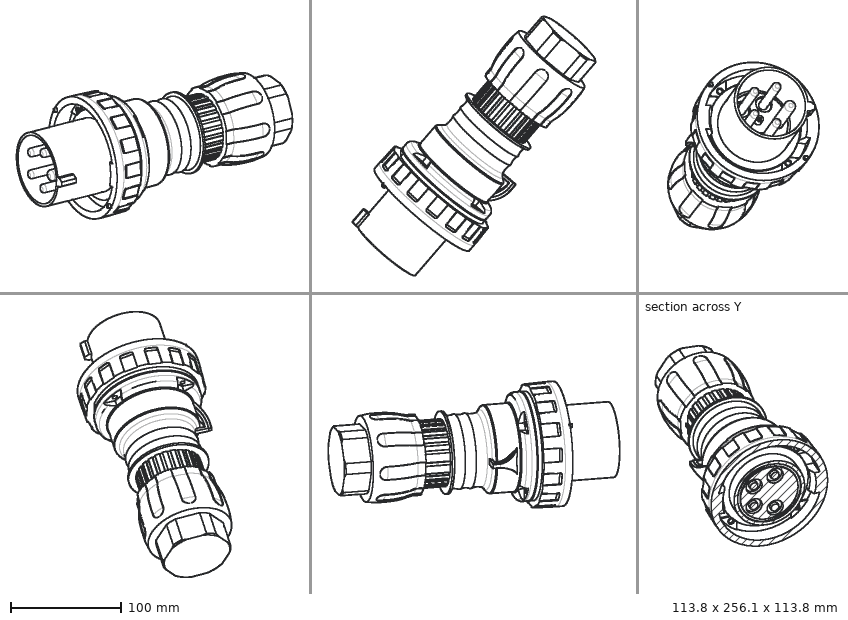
import cadquery as cq
import math

TOTAL_LENGTH = 256.1

SLEEVE_R = 34.5
BORE_MOUTH_R = 31.8
BORE_FLOOR_R = 30.6
SLEEVE_FLOOR_Y = 52.0
INSERT_R = 28.2
INSERT_HEIGHT = 1.5
KEY_LENGTH = 15.6
KEY_HALF_WIDTH = 4.4
KEY_TIP_HALF_WIDTH = 2.0
KEY_TIP_X = 40.7
KEY_SHOULDER_X = 36.7

PIN_COUNT = 5
PIN_CIRCLE_R = 18.3
PIN_R = 4.0
EARTH_PIN_R = 5.1
PIN_TIP_R = 2.0
PIN_TIP_LENGTH = 2.5
PIN_TIP_Y = 1.0
PIN_WELL_R = 7.5
PIN_WELL_DEPTH = 4.0
PILOT_R = 3.0
PILOT_LENGTH = 8.0
PILOT_HOLE_R = 1.2
PILOT_HOLE_DEPTH = 3.0

RING_FRONT_Y = 49.4
RING_BACK_Y = 76.1
RING_R = 56.9
RING_BACK_R = 56.3
RING_LINE_Y = 56.5
RING_INNER_R = 50.0
CAVITY_FLOOR_Y = 66.0
CAVITY_SHOULDER_Y = 63.0
CAVITY_SHOULDER_R = 42.2
GRIP_COUNT = 15
GRIP_FIRST_ANGLE = 14.3
GRIP_WIDTH = 12.5
GRIP_DEPTH = 1.2
GRIP_END_Y = 59.0
GRIP_RAMP = 2.0
GRIP_CORNER_R = 1.8
LUG_COUNT = 2
LUG_HALF_WIDTH = 11.5
LUG_RAMP_Y = 58.0
LUG_FRONT_R = 46.0
MARKER_X = 44.4
MARKER_Z = 31.5
MARKER_R = 2.5
MARKER_TIP_R = 1.6
MARKER_HEIGHT = 2.3

FLANGE_R = 49.8
FLANGE_LIP_Y = 80.0
FLANGE_EDGE_Y = 85.8
FLANGE_ROUND_MID = (49.2, 88.6)
FLANGE_ROUND_END = (47.4, 90.4)
FLANGE_SLOPE_END = (41.2, 93.0)
FLANGE_FLAT_X = 48.0
GROOVE_DEPTH = 0.5
GROOVE_WIDTH = 0.8
SCREW_COUNT = 4
SCREW_OFFSET = 31.8
SCREW_HOLE_R = 2.2
SCREW_SEAT_R = 2.9
SCREW_SEAT_DEPTH = 1.0
CORNER_OFFSET = 26.3
CORNER_PAD_HEIGHT = 1.5
SCREW_POCKET_Y = 87.2
SCREW_POCKET_INNER_R = 41.0

BODY_R = 40.4
BODY_FRONT_Y = 94.2
BODY_BACK_Y = 115.6
BODY_RIM_R = 40.0
BODY_RIM_Y = 116.8
SHOULDER_R = 36.4
SHOULDER_Y = 119.7
SHOULDER_HOLLOW_MID = (34.6, 121.4)
BELLOWS_START_Y = 123.6
BELLOWS_START_R = 33.8
BELLOWS_PITCH = 10.2
BELLOWS_COUNT = 3
BELLOWS_RIDGE_R = 34.4
BELLOWS_VALLEY_R = 33.4
COLLAR_R = 37.8
COLLAR_FRONT_Y = 154.9
COLLAR_BACK_Y = 157.0

NECK_R = 29.9
SPLINE_R = 30.8
SPLINE_COUNT = 26
SPLINE_ANGLE = 8.3
NECK_FLAT_X = -29.1
NECK_FLAT_HALF_WIDTH = 9.7
NECK_RIB_WIDTH = 3.0

GLAND_FRONT_Y = 181.3
GLAND_BAND_Y = 189.0
GLAND_BACK_Y = 231.2
GLAND_BAND_R = 36.9
GLAND_BACK_R = 39.3
SCALLOP_COUNT = 8
SCALLOP_FIRST_ANGLE = -3.0
SCALLOP_WIDTH = 12.8
SCALLOP_DEPTH = 1.0
SCALLOP_RAMP_Y = 218.0
SCALLOP_END_Y = 225.2
SCALLOP_RAMP_END_R = 40.3
GLAND_BULGE = [(39.7, 200.0), (40.7, 213.0), (40.5, 222.0)]

HEX_APOTHEM = 29.9
HEX_CORNER_R = 32.0
HEX_TURN = 4.3
HEX_FLAT_TO_CORNER = 30.0
HEX_CHAMFER = 1.2

STRAP_INNER_X = -44.2
STRAP_THICKNESS = 5.6
STRAP_EDGE_STEP = 0.6
STRAP_INNER_MID = (-42.2, 108.0)
STRAP_MID_SLOPE = math.radians(33.0)
STRAP_INNER_FOOT_Y = 101.0
STRAP_FOOT_X = -36.9
STRAP_FLARE_MID_Y = 106.5
STRAP_FLARE_MID_HALF_WIDTH = 5.0
STRAP_BACK_Y = 122.0
STRAP_FRONT_Y = 97.0
STRAP_BAR_THICKNESS = 2.6
STRAP_BAR_HALF_WIDTH = 2.4
STRAP_FOOT_HALF_WIDTH = 13.0
STRAP_STRAIGHT_Y = 115.5

AXIS_START = (0, 0, 0)
AXIS_END = (0, 1, 0)
FAR = 70.0
OVERLAP = 1.0


def revolve_outline(outline):
    """Turn a closed (radius, Y) outline around the plug axis."""
    return outline.close().revolve(360, AXIS_START, AXIS_END)


def section(front_y, back_y):
    """Empty XZ sketch plane and the distance to extrude towards -Y."""
    return cq.Workplane("XZ", origin=(0, back_y, 0)), back_y - front_y


def cylinder(radius, front_y, back_y, x=0.0, z=0.0):
    """Round bar parallel to the plug axis."""
    plane, length = section(front_y, back_y)
    return plane.center(x, z).circle(radius).extrude(length)


def box(x_range, y_range, z_range):
    size = [high - low for low, high in (x_range, y_range, z_range)]
    corner = (x_range[0], y_range[0], z_range[0])
    return cq.Workplane("XY").box(*size, centered=False).translate(corner)


def around_axis(shape, angle):
    """Rotate about the plug axis; positive angles go from +Z towards +X."""
    return shape.rotate(AXIS_START, AXIS_END, angle)


def polar_copies(shape, count, first_angle):
    step = 360.0 / count
    return [around_axis(shape, first_angle + index * step) for index in range(count)]


def fuse_all(base, shapes):
    return cq.Workplane(base.val().fuse(*[shape.val() for shape in shapes]))


def cut_all(base, shapes):
    return cq.Workplane(base.val().cut(*[shape.val() for shape in shapes]))


def make_main_body():
    """Turned body from the sleeve to the collar, with the open cavity inside the coupling ring."""
    outline = (
        cq.Workplane("XY")
        .moveTo(0, SLEEVE_FLOOR_Y)
        .lineTo(BORE_FLOOR_R, SLEEVE_FLOOR_Y)
        .lineTo(BORE_MOUTH_R, 0)
        .lineTo(SLEEVE_R, 0)
        .lineTo(SLEEVE_R, CAVITY_SHOULDER_Y)
        .lineTo(CAVITY_SHOULDER_R, CAVITY_SHOULDER_Y)
        .lineTo(CAVITY_SHOULDER_R, CAVITY_FLOOR_Y)
        .lineTo(RING_INNER_R, CAVITY_FLOOR_Y)
        .lineTo(RING_INNER_R, RING_FRONT_Y)
        .lineTo(RING_R, RING_FRONT_Y)
        .lineTo(RING_R, RING_LINE_Y)
        .lineTo(RING_BACK_R, RING_BACK_Y)
        .lineTo(FLANGE_R, RING_BACK_Y)
        .lineTo(FLANGE_R, FLANGE_LIP_Y)
        .lineTo(FLANGE_R - GROOVE_DEPTH, FLANGE_LIP_Y)
        .lineTo(FLANGE_R - GROOVE_DEPTH, FLANGE_LIP_Y + GROOVE_WIDTH)
        .lineTo(FLANGE_R, FLANGE_LIP_Y + GROOVE_WIDTH)
        .lineTo(FLANGE_R, FLANGE_EDGE_Y)
        .threePointArc(FLANGE_ROUND_MID, FLANGE_ROUND_END)
        .lineTo(*FLANGE_SLOPE_END)
        .lineTo(BODY_R, BODY_FRONT_Y)
        .lineTo(BODY_R, BODY_BACK_Y)
        .lineTo(BODY_RIM_R, BODY_RIM_Y)
        .lineTo(SHOULDER_R, SHOULDER_Y)
        .threePointArc(SHOULDER_HOLLOW_MID, (BELLOWS_START_R, BELLOWS_START_Y))
    )
    for fold in range(BELLOWS_COUNT):
        fold_y = BELLOWS_START_Y + fold * BELLOWS_PITCH
        outline = outline.threePointArc(
            (BELLOWS_VALLEY_R, fold_y + BELLOWS_PITCH / 2),
            (BELLOWS_RIDGE_R, fold_y + BELLOWS_PITCH),
        )
    outline = (
        outline
        .lineTo(COLLAR_R, COLLAR_FRONT_Y)
        .lineTo(COLLAR_R, COLLAR_BACK_Y)
        .lineTo(0, COLLAR_BACK_Y)
    )
    flange_flat = box((FLANGE_FLAT_X, FAR), (RING_BACK_Y, FLANGE_LIP_Y), (-FAR, FAR))
    return revolve_outline(outline).cut(flange_flat)


def make_key():
    """Polarising key on the +X side of the sleeve mouth."""
    plane, length = section(0, KEY_LENGTH)
    return (
        plane
        .moveTo(BORE_MOUTH_R + OVERLAP, -KEY_HALF_WIDTH)
        .lineTo(KEY_SHOULDER_X, -KEY_HALF_WIDTH)
        .lineTo(KEY_TIP_X, -KEY_TIP_HALF_WIDTH)
        .lineTo(KEY_TIP_X, KEY_TIP_HALF_WIDTH)
        .lineTo(KEY_SHOULDER_X, KEY_HALF_WIDTH)
        .lineTo(BORE_MOUTH_R + OVERLAP, KEY_HALF_WIDTH)
        .close()
        .extrude(length)
    )


def make_pin(radius, x, z):
    """Contact pin with a rounded shoulder and a flat tip."""
    shoulder_y = PIN_TIP_Y + PIN_TIP_LENGTH
    mid = math.cos(math.radians(45))
    pin = revolve_outline(
        cq.Workplane("XY")
        .moveTo(0, PIN_TIP_Y)
        .lineTo(PIN_TIP_R, PIN_TIP_Y)
        .threePointArc(
            (PIN_TIP_R + (radius - PIN_TIP_R) * mid, shoulder_y - PIN_TIP_LENGTH * mid),
            (radius, shoulder_y),
        )
        .lineTo(radius, SLEEVE_FLOOR_Y + PIN_WELL_DEPTH + OVERLAP)
        .lineTo(0, SLEEVE_FLOOR_Y + PIN_WELL_DEPTH + OVERLAP)
    )
    return pin.translate((x, 0, z))


def add_contacts(plug):
    """Insert plate with five pins, wells around all but the earth pin, and a hollow pilot."""
    insert_y = SLEEVE_FLOOR_Y - INSERT_HEIGHT
    plug = plug.union(cylinder(INSERT_R, insert_y, SLEEVE_FLOOR_Y + OVERLAP))
    for index in range(PIN_COUNT):
        angle = math.radians(index * 360.0 / PIN_COUNT)
        x = PIN_CIRCLE_R * math.cos(angle)
        z = PIN_CIRCLE_R * math.sin(angle)
        is_earth = index == 0
        if not is_earth:
            plug = plug.cut(cylinder(PIN_WELL_R, insert_y, insert_y + PIN_WELL_DEPTH, x, z))
        plug = plug.union(make_pin(EARTH_PIN_R if is_earth else PIN_R, x, z))
    pilot_y = insert_y - PILOT_LENGTH
    plug = plug.union(cylinder(PILOT_R, pilot_y, SLEEVE_FLOOR_Y))
    return plug.cut(cylinder(PILOT_HOLE_R, pilot_y, pilot_y + PILOT_HOLE_DEPTH))


def make_grip_cutter():
    """Shallow thumb recess at +Z, open to the back of the ring, with a sloped front end."""
    floor_z = RING_BACK_R - GRIP_DEPTH
    return (
        cq.Workplane("YZ", origin=(-GRIP_WIDTH / 2, 0, 0))
        .moveTo(GRIP_END_Y, RING_R + OVERLAP)
        .lineTo(GRIP_END_Y, RING_BACK_R)
        .lineTo(GRIP_END_Y + GRIP_RAMP, floor_z)
        .lineTo(RING_BACK_Y, floor_z)
        .lineTo(RING_BACK_Y, RING_R + OVERLAP)
        .close()
        .extrude(GRIP_WIDTH)
        .edges("|Z and <Y")
        .fillet(GRIP_CORNER_R)
    )


def make_lug():
    """Bayonet lug on the +X side inside the coupling ring, with a funnel-shaped front."""
    lug_ring = revolve_outline(
        cq.Workplane("XY")
        .moveTo(RING_INNER_R + OVERLAP, RING_FRONT_Y)
        .lineTo(LUG_FRONT_R, RING_FRONT_Y)
        .lineTo(CAVITY_SHOULDER_R, LUG_RAMP_Y)
        .lineTo(CAVITY_SHOULDER_R, CAVITY_FLOOR_Y + OVERLAP)
        .lineTo(RING_INNER_R + OVERLAP, CAVITY_FLOOR_Y + OVERLAP)
    )
    lug_y = (RING_FRONT_Y, CAVITY_FLOOR_Y + OVERLAP)
    return lug_ring.intersect(box((0, FAR), lug_y, (-LUG_HALF_WIDTH, LUG_HALF_WIDTH)))


def make_marker(side):
    """Small tapered stud on the front face of the coupling ring."""
    return (
        cq.Workplane("XZ", origin=(side * MARKER_X, RING_FRONT_Y + OVERLAP, -side * MARKER_Z))
        .circle(MARKER_R)
        .workplane(offset=MARKER_HEIGHT + OVERLAP)
        .circle(MARKER_TIP_R)
        .loft()
    )


def add_coupling_ring_details(plug):
    plug = cut_all(plug, polar_copies(make_grip_cutter(), GRIP_COUNT, GRIP_FIRST_ANGLE))
    plug = fuse_all(plug, polar_copies(make_lug(), LUG_COUNT, 0))
    for side in (-1, 1):
        plug = plug.union(make_marker(side))
    return plug


def add_screw_corners(plug):
    """Four screw corners: a pad in the cavity, a through hole and a pocket behind the flange."""
    corner = (CORNER_OFFSET, FAR)
    pad_y = (CAVITY_FLOOR_Y - CORNER_PAD_HEIGHT, CAVITY_FLOOR_Y + OVERLAP)
    pad = box(corner, pad_y, corner).intersect(cylinder(RING_INNER_R + OVERLAP, *pad_y))
    pocket_y = (SCREW_POCKET_Y, BODY_FRONT_Y + OVERLAP)
    pocket = box(corner, pocket_y, corner)
    pocket = pocket.cut(cylinder(SCREW_POCKET_INNER_R, *pocket_y))
    seat_front_y = CAVITY_SHOULDER_Y - OVERLAP
    hole = cylinder(SCREW_HOLE_R, seat_front_y, SCREW_POCKET_Y + OVERLAP)
    seat_back_y = CAVITY_FLOOR_Y - CORNER_PAD_HEIGHT + SCREW_SEAT_DEPTH
    hole = hole.union(cylinder(SCREW_SEAT_R, seat_front_y, seat_back_y))
    hole = hole.translate((SCREW_OFFSET, 0, SCREW_OFFSET))
    plug = fuse_all(plug, polar_copies(pad, SCREW_COUNT, 0))
    plug = cut_all(plug, polar_copies(pocket, SCREW_COUNT, 0))
    return cut_all(plug, polar_copies(hole, SCREW_COUNT, 0))


def make_spline():
    """One long spline at +Z on the neck."""
    plane, length = section(COLLAR_BACK_Y, GLAND_FRONT_Y)
    half = math.radians(SPLINE_ANGLE / 2)
    x = SPLINE_R * math.sin(half)
    z = SPLINE_R * math.cos(half)
    return (
        plane
        .moveTo(-x, NECK_R - 2 * OVERLAP)
        .lineTo(-x, z)
        .threePointArc((0, SPLINE_R), (x, z))
        .lineTo(x, NECK_R - 2 * OVERLAP)
        .close()
        .extrude(length)
    )


def make_neck():
    """Evenly splined neck, with a flat carrying one narrow rib on the -X side."""
    neck_y = (COLLAR_BACK_Y, GLAND_FRONT_Y)
    half_pitch = 180.0 / SPLINE_COUNT
    neck = fuse_all(cylinder(NECK_R, *neck_y), polar_copies(make_spline(), SPLINE_COUNT, half_pitch))
    flat_z = (-NECK_FLAT_HALF_WIDTH, NECK_FLAT_HALF_WIDTH)
    neck = neck.cut(box((-COLLAR_R, NECK_FLAT_X), neck_y, flat_z))
    rib_z = (-NECK_RIB_WIDTH / 2, NECK_RIB_WIDTH / 2)
    return neck.union(box((-SPLINE_R, NECK_FLAT_X + OVERLAP), neck_y, rib_z))


def make_gland_nut():
    """Barrel-shaped nut with round-ended finger scallops."""
    nut = revolve_outline(
        cq.Workplane("XY")
        .moveTo(0, GLAND_FRONT_Y)
        .lineTo(GLAND_BAND_R, GLAND_FRONT_Y)
        .lineTo(GLAND_BAND_R, GLAND_BAND_Y)
        .spline(GLAND_BULGE + [(GLAND_BACK_R, GLAND_BACK_Y)], includeCurrent=True)
        .lineTo(0, GLAND_BACK_Y)
    )
    band_floor_r = GLAND_BAND_R - SCALLOP_DEPTH
    shoulder_r, shoulder_y = GLAND_BULGE[0]
    bulge_r = GLAND_BULGE[1][0]
    floor = revolve_outline(
        cq.Workplane("XY")
        .moveTo(0, GLAND_FRONT_Y)
        .lineTo(band_floor_r, GLAND_FRONT_Y)
        .lineTo(band_floor_r, GLAND_BAND_Y)
        .spline(
            [(shoulder_r - SCALLOP_DEPTH, shoulder_y),
             (bulge_r - SCALLOP_DEPTH, SCALLOP_RAMP_Y)],
            includeCurrent=True,
        )
        .lineTo(SCALLOP_RAMP_END_R, SCALLOP_END_Y + OVERLAP)
        .lineTo(0, SCALLOP_END_Y + OVERLAP)
    )
    half = SCALLOP_WIDTH / 2
    scallop = (
        cq.Workplane("XY", origin=(0, 0, band_floor_r / 2))
        .moveTo(-half, GLAND_FRONT_Y)
        .lineTo(half, GLAND_FRONT_Y)
        .lineTo(half, SCALLOP_END_Y - half)
        .threePointArc((0, SCALLOP_END_Y), (-half, SCALLOP_END_Y - half))
        .close()
        .extrude(bulge_r)
        .cut(floor)
    )
    return cut_all(nut, polar_copies(scallop, SCALLOP_COUNT, SCALLOP_FIRST_ANGLE))


def make_cable_end():
    """Hexagonal end with cylindrical corners and a chamfered rim."""
    plane, length = section(GLAND_BACK_Y, TOTAL_LENGTH)
    hex_prism = plane.polygon(6, 2 * HEX_APOTHEM, circumscribed=True).extrude(length)
    hex_prism = around_axis(hex_prism, HEX_TURN + HEX_FLAT_TO_CORNER)
    rim = cylinder(HEX_CORNER_R, GLAND_BACK_Y, TOTAL_LENGTH).faces(">Y").chamfer(HEX_CHAMFER)
    return hex_prism.intersect(rim)


def make_strap_band(thickness):
    """Bent strap of full foot width, of the given thickness outside its inner face."""
    bar_end_x = -BELLOWS_VALLEY_R + OVERLAP
    bar_front_y = STRAP_BACK_Y - STRAP_BAR_THICKNESS
    outer_x = STRAP_INNER_X - thickness
    outer_mid = (
        STRAP_INNER_MID[0] - thickness * math.cos(STRAP_MID_SLOPE),
        STRAP_INNER_MID[1] - thickness * math.sin(STRAP_MID_SLOPE),
    )
    return (
        cq.Workplane("XY", origin=(0, 0, -STRAP_FOOT_HALF_WIDTH))
        .moveTo(bar_end_x, STRAP_BACK_Y)
        .lineTo(outer_x, STRAP_BACK_Y)
        .lineTo(outer_x, STRAP_STRAIGHT_Y)
        .threePointArc(outer_mid, (STRAP_FOOT_X, STRAP_INNER_FOOT_Y - thickness))
        .lineTo(STRAP_FOOT_X, STRAP_INNER_FOOT_Y)
        .threePointArc(STRAP_INNER_MID, (STRAP_INNER_X, STRAP_STRAIGHT_Y))
        .lineTo(STRAP_INNER_X, bar_front_y)
        .lineTo(bar_end_x, bar_front_y)
        .close()
        .extrude(2 * STRAP_FOOT_HALF_WIDTH)
    )


def make_strap_flare(inset):
    """Outline of the strap seen along X: a narrow bar that spreads to the foot, less an edge inset."""
    bar = STRAP_BAR_HALF_WIDTH - inset
    foot = STRAP_FOOT_HALF_WIDTH - inset
    mid_y = STRAP_FLARE_MID_Y
    mid_z = STRAP_FLARE_MID_HALF_WIDTH - inset
    return (
        cq.Workplane("YZ", origin=(-FAR, 0, 0))
        .moveTo(STRAP_BACK_Y, -bar)
        .lineTo(STRAP_BACK_Y, bar)
        .lineTo(STRAP_STRAIGHT_Y, bar)
        .threePointArc((mid_y, mid_z), (STRAP_FRONT_Y, foot))
        .lineTo(STRAP_FRONT_Y, -foot)
        .threePointArc((mid_y, -mid_z), (STRAP_STRAIGHT_Y, -bar))
        .close()
        .extrude(FAR)
    )


def make_strap_eye():
    """Strap eye on the -X side: a full-width inner layer and a slightly narrower outer layer."""
    inner_layer = make_strap_band(STRAP_THICKNESS / 2).intersect(make_strap_flare(0))
    full_band = make_strap_band(STRAP_THICKNESS).intersect(make_strap_flare(STRAP_EDGE_STEP))
    return inner_layer.union(full_band)


plug = make_main_body()
plug = plug.union(make_key())
plug = add_contacts(plug)
plug = add_coupling_ring_details(plug)
plug = add_screw_corners(plug)
plug = plug.union(make_neck())
plug = plug.union(make_gland_nut())
plug = plug.union(make_cable_end())
plug = plug.union(make_strap_eye())

result = plug